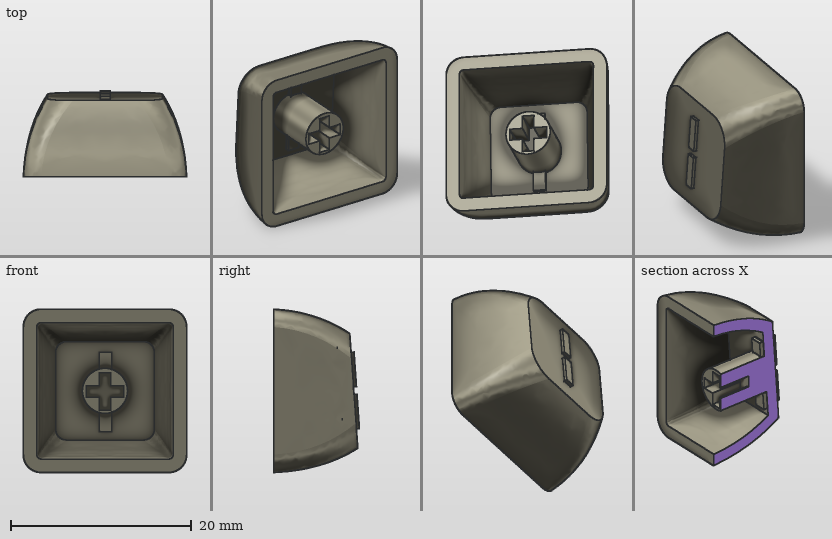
import cadquery as cq
import math


RIM_SIZE = 18.1
RIM_RADIUS = 2.0
TOP_SIZE = 12.7
TOP_RADIUS = 2.8
TOP_DEPTH = 8.89
TOP_TILT = 4.0

WALL = 1.5
FLOOR_SIZE = 10.91
FLOOR_RADIUS = 1.18
OPENING_SIZE = RIM_SIZE - 2 * WALL
OPENING_RADIUS = RIM_RADIUS - WALL
FLOOR_DEPTH = TOP_DEPTH - WALL

STEM_DIAMETER = 5.0
STEM_RECESS = 1.0
CROSS_SPAN = 4.18
CROSS_ARM = 1.29
CROSS_Z = -0.07
CROSS_DEPTH = 3.98

BAR_WIDTH = 1.38
BAR_LENGTH = 8.8
BAR_THICKNESS = 0.5
BAR_X = 0.07
BAR_Z = -0.1
PAD_WIDTH = 1.12
PAD_LENGTH = 3.84
PAD_PITCH = 4.67
PAD_X = 0.04
PAD_Z = -0.07
PAD_RISE = 0.33

HALF_DEPTH_TAPER = 0.26


def tilted_plane(depth, tilt):
    """Workplane crossing the axis at the depth, with its normal toward the open rim."""
    angle = math.radians(tilt)
    normal = (0, -math.cos(angle), -math.sin(angle))
    return cq.Workplane(cq.Plane(origin=(0, depth, 0), xDir=(1, 0, 0), normal=normal))


def square_wire(depth, tilt, size, radius):
    """Closed wire of a square with rounded corners on a tilted plane."""
    half = size / 2
    straight = half - radius
    diagonal = half - radius * (1 - math.sqrt(0.5))
    outline = (
        tilted_plane(depth, tilt)
        .moveTo(-straight, -half)
        .lineTo(straight, -half)
        .threePointArc((diagonal, -diagonal), (half, -straight))
        .lineTo(half, straight)
        .threePointArc((diagonal, diagonal), (straight, half))
        .lineTo(-straight, half)
        .threePointArc((-diagonal, diagonal), (-half, straight))
        .lineTo(-half, -straight)
        .threePointArc((-diagonal, -diagonal), (-straight, -half))
        .close()
    )
    return outline.val()


def bowed_block(depth, start_size, start_radius, end_size, end_radius):
    """Block from the rim plane to a tilted end face, with sides that bow outward."""
    middle_size = start_size + HALF_DEPTH_TAPER * (end_size - start_size)
    middle_radius = start_radius + HALF_DEPTH_TAPER * (end_radius - start_radius)
    wires = [
        square_wire(0, 0, start_size, start_radius),
        square_wire(depth / 2, TOP_TILT / 2, middle_size, middle_radius),
        square_wire(depth, TOP_TILT, end_size, end_radius),
    ]
    return cq.Workplane(cq.Solid.makeLoft(wires))


def make_stem():
    """Round stem reaching into the top wall, with a cross-shaped blind socket."""
    rim_side = cq.Workplane("XZ", origin=(0, STEM_RECESS, 0))
    length = FLOOR_DEPTH + WALL / 2 - STEM_RECESS
    stem = rim_side.circle(STEM_DIAMETER / 2).extrude(-length)
    for width, height in ((CROSS_SPAN, CROSS_ARM), (CROSS_ARM, CROSS_SPAN)):
        stem = stem.cut(rim_side.center(0, CROSS_Z).rect(width, height).extrude(-CROSS_DEPTH))
    return stem


def make_insert():
    """Bar standing on the cavity floor, with a pad at each end running through the wall."""
    floor = tilted_plane(FLOOR_DEPTH, TOP_TILT)
    insert = floor.center(BAR_X, BAR_Z).rect(BAR_WIDTH, BAR_LENGTH).extrude(BAR_THICKNESS)
    pad_height = WALL + PAD_RISE
    for side in (1, -1):
        centred = floor.center(PAD_X, PAD_Z + side * PAD_PITCH / 2)
        pad = centred.rect(PAD_WIDTH, PAD_LENGTH).extrude(-pad_height)
        insert = insert.union(pad)
    return insert.solids()


def make_cap(insert):
    """Hollow cap with its stem, cut out where the insert sits."""
    shell = bowed_block(TOP_DEPTH, RIM_SIZE, RIM_RADIUS, TOP_SIZE, TOP_RADIUS)
    cavity = bowed_block(FLOOR_DEPTH, OPENING_SIZE, OPENING_RADIUS, FLOOR_SIZE, FLOOR_RADIUS)
    return shell.cut(cavity).union(make_stem()).cut(insert).solids()


insert = make_insert()
cap = make_cap(insert)

result = cq.Compound.makeCompound([cap.val(), insert.val()])